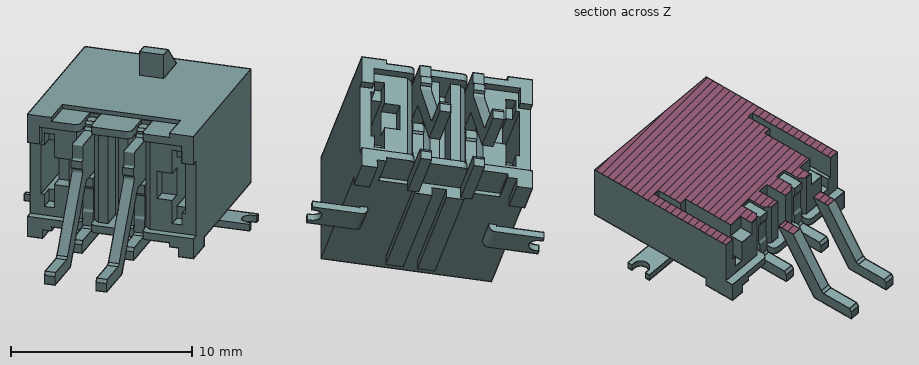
import cadquery as cq
import math


HOUSING_WIDTH = 9.66
HOUSING_LENGTH = 9.9
HOUSING_TOP = 7.34
HOUSING_FLOOR = 0.52
HALF_WIDTH = HOUSING_WIDTH / 2

LATCH_WIDTH = 1.4
LATCH_TOP = 8.76
LATCH_REAR = 7.09
LATCH_CREST_LENGTH = 0.78
LATCH_RAMP_RUN = LATCH_TOP - HOUSING_TOP

RECESS_DEPTH = 0.48
RECESS_BOTTOM = 1.2
RECESS_TOP = 6.66
CORNER_WIDTH = 0.69
CORNER_BOTTOM = 5.65
THIN_HALF_WIDTH = 3.43
THIN_LENGTH = 1.9
THIN_STEP = 0.24

FOOT_WIDTH = 0.88
RAIL_INNER = 0.40
RAIL_OUTER = 1.39
RAIL_SETBACK = 1.0
RAIL_FRONT = HOUSING_LENGTH - RAIL_SETBACK

PITCH = 3.0
PIN_WIDTH = 0.62
SLOT_DEPTH = 1.81
SLOT_FLARE = 0.32
SLOT_LEAD_DEPTH = 0.32
GROOVE_WIDTH = 0.62
PIN_EMBEDMENT = 0.5
PIN_ROOT = SLOT_DEPTH + PIN_EMBEDMENT
PIN_BASE = 0.04
PIN_FOOT_TOP = 0.755
FOOT_CHAMFER_RUN = 0.13
FOOT_CHAMFER_DROP = 0.2
UPPER_PIN_TIP = -6.0
LOWER_PIN_TIP = -1.35

TAB_SPAN = 13.1
TAB_REAR = 4.53
TAB_LENGTH = 1.54
TAB_THICKNESS = 0.40
TAB_BEND_RADIUS = 0.35
NOTCH_RADIUS = 0.48
NOTCH_DEPTH = 0.68
TAB_INNER = THIN_HALF_WIDTH
SHEET_THICKNESS = 0.43
NARROW_SLOT_OUTER = 4.01
NARROW_SLOT_BOTTOM = 1.72
NARROW_SLOT_TOP = 6.13
WIDE_SLOT_OUTER = 4.20
WIDE_SLOT_BOTTOM = 2.44
WIDE_SLOT_TOP = 5.41
WINDOW_INNER = 2.56
WINDOW_BOTTOM = 3.11
WINDOW_TOP = 4.74
WINDOW_END = 1.29


def block(x_range, y_range, z_range):
    """Box between the given limits."""
    (x0, x1), (y0, y1), (z0, z1) = x_range, y_range, z_range
    return cq.Workplane("XY").box(x1 - x0, y1 - y0, z1 - z0, centered=False).translate((x0, y0, z0))


def both_sides(shape):
    """The shape together with its mirror image across X = 0."""
    return shape.union(shape.mirror("YZ"))


def side_plate(outline, width, x_center):
    """Plate of the given width whose (Y, Z) outline is centred on x_center."""
    return outline.extrude(width / 2, both=True).translate((x_center, 0, 0))


def make_latch():
    """Latch catch with a 45-degree ramp toward the mating end."""
    crest_front = LATCH_REAR + LATCH_CREST_LENGTH
    outline = (
        cq.Workplane("YZ")
        .moveTo(LATCH_REAR, HOUSING_TOP)
        .lineTo(LATCH_REAR, LATCH_TOP)
        .lineTo(crest_front, LATCH_TOP)
        .lineTo(crest_front + LATCH_RAMP_RUN, HOUSING_TOP)
        .close()
    )
    return side_plate(outline, LATCH_WIDTH, 0)


def make_rear_recess():
    """Recess across the rear face, leaving a hanging corner at each upper side."""
    depth = (0, RECESS_DEPTH)
    inner = HALF_WIDTH - CORNER_WIDTH
    lower = block((-HALF_WIDTH, HALF_WIDTH), depth, (RECESS_BOTTOM, CORNER_BOTTOM))
    upper = block((-inner, inner), depth, (CORNER_BOTTOM, RECESS_TOP))
    return lower.union(upper)


def make_flange_steps():
    """Shallow steps that thin the middle of the top and bottom flanges."""
    x_range = (-THIN_HALF_WIDTH, THIN_HALF_WIDTH)
    y_range = (0, THIN_LENGTH)
    top = block(x_range, y_range, (HOUSING_TOP - THIN_STEP, HOUSING_TOP))
    bottom = block(x_range, y_range, (HOUSING_FLOOR, HOUSING_FLOOR + THIN_STEP))
    return top.union(bottom)


def make_flange_slot(z_range):
    """Pin slot through a flange, with rounded mouth edges."""
    half = PIN_WIDTH / 2
    mouth = half + SLOT_FLARE
    slant = SLOT_FLARE * (1 - math.cos(math.radians(45)))
    outline = (
        cq.Workplane("XY")
        .moveTo(-mouth, 0)
        .threePointArc((-half - slant, slant), (-half, SLOT_FLARE))
        .lineTo(-half, SLOT_DEPTH)
        .lineTo(half, SLOT_DEPTH)
        .lineTo(half, SLOT_FLARE)
        .threePointArc((half + slant, slant), (mouth, 0))
        .close()
    )
    return outline.extrude(z_range[1] - z_range[0]).translate((PITCH / 2, 0, z_range[0]))


def make_wall_slot():
    """Pin slot in the recessed wall, with a tapered lead-in."""
    half = PIN_WIDTH / 2
    mouth = half + SLOT_FLARE
    lead_end = RECESS_DEPTH + SLOT_LEAD_DEPTH
    outline = cq.Workplane("XY").polyline([
        (-mouth, RECESS_DEPTH),
        (-half, lead_end),
        (-half, SLOT_DEPTH),
        (half, SLOT_DEPTH),
        (half, lead_end),
        (mouth, RECESS_DEPTH),
    ]).close()
    return outline.extrude(RECESS_TOP - RECESS_BOTTOM).translate((PITCH / 2, 0, RECESS_BOTTOM))


def make_pin_slots():
    slot = make_wall_slot()
    slot = slot.union(make_flange_slot((HOUSING_FLOOR, RECESS_BOTTOM)))
    slot = slot.union(make_flange_slot((RECESS_TOP, HOUSING_TOP - THIN_STEP)))
    return both_sides(slot)


def make_groove():
    """Groove down the middle of the recessed wall."""
    half = GROOVE_WIDTH / 2
    return block((-half, half), (RECESS_DEPTH, SLOT_DEPTH), (RECESS_BOTTOM, RECESS_TOP))


def make_tab_slots():
    """Stepped openings through which the solder tabs are inserted, one per side."""
    tab_front = TAB_REAR + TAB_LENGTH
    narrow = block(
        (TAB_INNER, NARROW_SLOT_OUTER), (RECESS_DEPTH, WINDOW_END), (NARROW_SLOT_BOTTOM, NARROW_SLOT_TOP)
    )
    wide = block(
        (TAB_INNER, WIDE_SLOT_OUTER), (RECESS_DEPTH, tab_front), (WIDE_SLOT_BOTTOM, WIDE_SLOT_TOP)
    )
    window = block((WINDOW_INNER, TAB_INNER), (RECESS_DEPTH, WINDOW_END), (WINDOW_BOTTOM, WINDOW_TOP))
    return both_sides(narrow.union(wide).union(window))


def make_supports():
    """Corner feet at the rear and the two rails under the floor."""
    foot = block((HALF_WIDTH - FOOT_WIDTH, HALF_WIDTH), (0, THIN_LENGTH), (0, HOUSING_FLOOR))
    rail = block((RAIL_INNER, RAIL_OUTER), (THIN_LENGTH, RAIL_FRONT), (0, HOUSING_FLOOR))
    return both_sides(foot.union(rail))


def make_housing():
    body = block((-HALF_WIDTH, HALF_WIDTH), (0, HOUSING_LENGTH), (HOUSING_FLOOR, HOUSING_TOP))
    for make_cutter in (make_rear_recess, make_flange_steps, make_pin_slots, make_groove, make_tab_slots):
        body = body.cut(make_cutter())
    return body.union(make_supports()).union(make_latch())


def make_upper_pin():
    """Upper-row pin: barbed blade, slanted leg and solder foot."""
    blade_top = 6.46
    blade_bottom = 4.11
    shoulder = -1.2
    corner_radius = 0.08
    ledge_radius = 0.1
    nub_face = -1.4
    nub_top = 5.56
    nub_bottom = 5.12
    barb_rear = 0.85
    barb_clearance = 0.08
    barb_front = SLOT_DEPTH - barb_clearance
    barb_rise = 0.15
    undercut_edge = -1.26
    undercut_top = 5.02
    undercut_sag = 0.025
    leg_top = 4.79
    foot_start = -4.02
    foot_blend_run = 0.16
    foot_blend_rise = 0.12
    heel = -3.35
    leg_bend = (-0.65, blade_bottom)
    leg_bend_radius = 0.31
    outline = (
        cq.Workplane("YZ")
        .moveTo(PIN_ROOT, blade_bottom)
        .lineTo(PIN_ROOT, blade_top)
        .lineTo(barb_front, blade_top)
        .lineTo(barb_front, blade_top + 3 * barb_rise)
        .lineTo(barb_rear + 2 * barb_rise, blade_top + 3 * barb_rise)
        .lineTo(barb_rear + barb_rise, blade_top + 2 * barb_rise)
        .lineTo(barb_rear + barb_rise, blade_top + barb_rise)
        .lineTo(barb_rear, blade_top)
        .lineTo(shoulder, blade_top)
        .lineTo(shoulder, nub_top)
        .lineTo(nub_face, nub_top)
        .lineTo(nub_face, nub_bottom)
        .lineTo(undercut_edge, undercut_top)
        .threePointArc((undercut_edge + undercut_sag, (undercut_top + leg_top) / 2), (undercut_edge, leg_top))
        .lineTo(foot_start + foot_blend_run, PIN_FOOT_TOP + foot_blend_rise)
        .lineTo(foot_start, PIN_FOOT_TOP)
        .lineTo(UPPER_PIN_TIP + FOOT_CHAMFER_RUN, PIN_FOOT_TOP)
        .lineTo(UPPER_PIN_TIP, PIN_FOOT_TOP - FOOT_CHAMFER_DROP)
        .lineTo(UPPER_PIN_TIP, PIN_BASE)
        .lineTo(heel, PIN_BASE)
        .lineTo(*leg_bend)
        .close()
    )
    x_center = PITCH / 2
    pin = side_plate(outline, PIN_WIDTH, x_center)
    rounded = [
        ((shoulder, blade_top), corner_radius),
        ((shoulder, nub_top), ledge_radius),
        (leg_bend, leg_bend_radius),
    ]
    for (y, z), radius in rounded:
        pin = pin.edges(cq.selectors.NearestToPointSelector((x_center, y, z))).fillet(radius)
    return pin


def make_lower_pin():
    """Lower-row pin: upright stem with a waist in its rear edge, and a solder foot."""
    stem_top = 3.76
    stem_rear = 0.55
    waist_rear = 0.63
    head_bottom = 3.23
    waist_top = 3.09
    waist_bottom = 1.86
    waist_curve_drop = 0.2
    waist_curve_middle = ((stem_rear + waist_rear) / 2, waist_bottom - waist_curve_drop / 2)
    waist_curve_radius = 0.15
    foot_bend = 0.12
    outline = (
        cq.Workplane("YZ")
        .moveTo(PIN_ROOT, stem_top)
        .lineTo(stem_rear, stem_top)
        .lineTo(stem_rear, head_bottom)
        .lineTo(waist_rear, waist_top)
        .lineTo(waist_rear, waist_bottom)
        .radiusArc(waist_curve_middle, waist_curve_radius)
        .radiusArc((stem_rear, waist_bottom - waist_curve_drop), -waist_curve_radius)
        .lineTo(stem_rear, PIN_FOOT_TOP + foot_bend)
        .lineTo(stem_rear - foot_bend, PIN_FOOT_TOP)
        .lineTo(LOWER_PIN_TIP + FOOT_CHAMFER_RUN, PIN_FOOT_TOP)
        .lineTo(LOWER_PIN_TIP, PIN_FOOT_TOP - FOOT_CHAMFER_DROP)
        .lineTo(LOWER_PIN_TIP, PIN_BASE)
        .lineTo(SLOT_DEPTH, PIN_BASE)
        .lineTo(SLOT_DEPTH, RECESS_BOTTOM)
        .lineTo(PIN_ROOT, RECESS_BOTTOM)
        .close()
    )
    return side_plate(outline, PIN_WIDTH, PITCH / 2)


def make_solder_tab():
    """L-shaped sheet: an upright leg in the housing and a notched lug beside it."""
    tab_end = TAB_SPAN / 2
    lug_top = PIN_BASE + TAB_THICKNESS
    tab_front = TAB_REAR + TAB_LENGTH
    y_range = (TAB_REAR, tab_front)
    lug = block((TAB_INNER, tab_end), y_range, (PIN_BASE, lug_top))
    upright = block((TAB_INNER, TAB_INNER + SHEET_THICKNESS), y_range, (PIN_BASE, WIDE_SLOT_TOP))
    tab = lug.union(upright)
    tab = tab.edges("|Y").edges("<X and <Z").fillet(TAB_BEND_RADIUS)
    notch_y = (TAB_REAR + tab_front) / 2
    notch_x = tab_end - NOTCH_DEPTH + NOTCH_RADIUS
    notch = cq.Workplane("XY").center(notch_x, notch_y).circle(NOTCH_RADIUS).extrude(lug_top)
    mouth = block((notch_x, tab_end), (notch_y - NOTCH_RADIUS, notch_y + NOTCH_RADIUS), (0, lug_top))
    return tab.cut(notch).cut(mouth)


result = make_housing()
for metal_part in (make_upper_pin(), make_lower_pin(), make_solder_tab()):
    result = result.union(both_sides(metal_part))